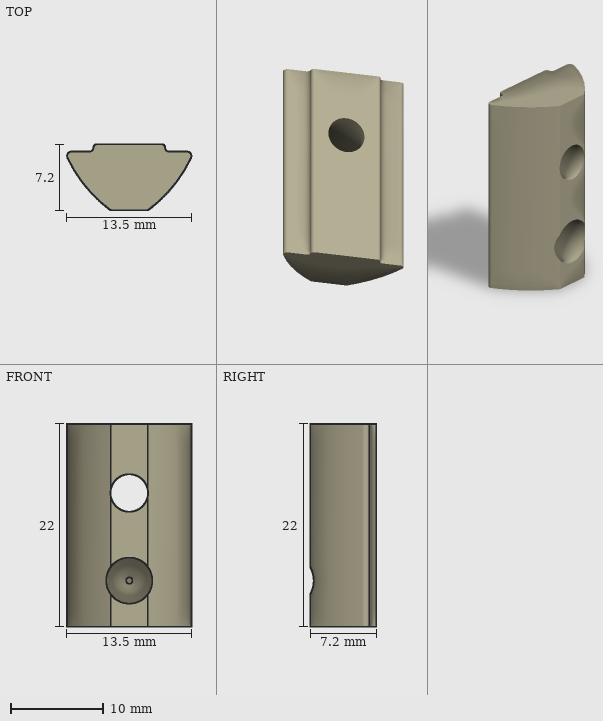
import cadquery as cq
import math

width = 13.5
depth = 7.2
length = 22.0

front_flat_width = 4.0
flank_radius = 15.0
wing_corner_radius = 0.5
rib_width = 7.8
rib_height = 0.8
rib_side_radius = rib_height / 2

screw_hole_diameter = 4.05
screw_hole_z = 14.5

blind_hole_diameter = 5.0
blind_hole_z = 5.0
blind_hole_straight_depth = 5.0
cone_angle = 130.0
cone_tip_diameter = 0.7


def flank_center(front_corner, wing_center):
    """Centre of the flank arc through the front corner, tangent to the wing corner arc."""
    center_spacing = flank_radius - wing_corner_radius
    dx = wing_center[0] - front_corner[0]
    dy = wing_center[1] - front_corner[1]
    distance = math.hypot(dx, dy)
    along = (distance**2 + flank_radius**2 - center_spacing**2) / (2 * distance)
    across = math.sqrt(flank_radius**2 - along**2)
    return (
        front_corner[0] + (along * dx - across * dy) / distance,
        front_corner[1] + (along * dy + across * dx) / distance,
    )


def direction(start, end):
    return math.atan2(end[1] - start[1], end[0] - start[0])


def point_on_arc(center, radius, angle):
    return (center[0] + radius * math.cos(angle), center[1] + radius * math.sin(angle))


def make_half_body():
    """Half of the prism on the +X side."""
    half_rib = rib_width / 2
    ledge_y = depth - rib_height
    front_corner = (front_flat_width / 2, 0)
    wing_center = (width / 2 - wing_corner_radius, ledge_y - wing_corner_radius)
    center = flank_center(front_corner, wing_center)

    start_angle = direction(center, front_corner)
    tangent_angle = direction(center, wing_center)
    flank_middle = point_on_arc(center, flank_radius, (start_angle + tangent_angle) / 2)
    flank_end = point_on_arc(center, flank_radius, tangent_angle)

    profile = (
        cq.Workplane("XY")
        .lineTo(*front_corner)
        .threePointArc(flank_middle, flank_end)
        .radiusArc((wing_center[0], ledge_y), -wing_corner_radius)
        .lineTo(half_rib + rib_side_radius, ledge_y)
        .radiusArc((half_rib, ledge_y + rib_side_radius), rib_side_radius)
        .radiusArc((half_rib - rib_side_radius, depth), -rib_side_radius)
        .lineTo(0, depth)
        .close()
    )
    return profile.extrude(length)


def make_body():
    half = make_half_body()
    return half.union(half.mirror("YZ"))


def make_screw_hole():
    return (
        cq.Workplane("XZ", origin=(0, 0, screw_hole_z))
        .circle(screw_hole_diameter / 2)
        .extrude(-depth)
    )


def make_blind_hole():
    radius = blind_hole_diameter / 2
    tip_radius = cone_tip_diameter / 2
    cone_depth = (radius - tip_radius) / math.tan(math.radians(cone_angle / 2))
    bottom_y = blind_hole_straight_depth + cone_depth
    return (
        cq.Workplane("XY", origin=(0, 0, blind_hole_z))
        .lineTo(radius, 0)
        .lineTo(radius, blind_hole_straight_depth)
        .lineTo(tip_radius, bottom_y)
        .lineTo(0, bottom_y)
        .close()
        .revolve(360, (0, 0, 0), (0, 1, 0))
    )


result = make_body().cut(make_screw_hole()).cut(make_blind_hole())